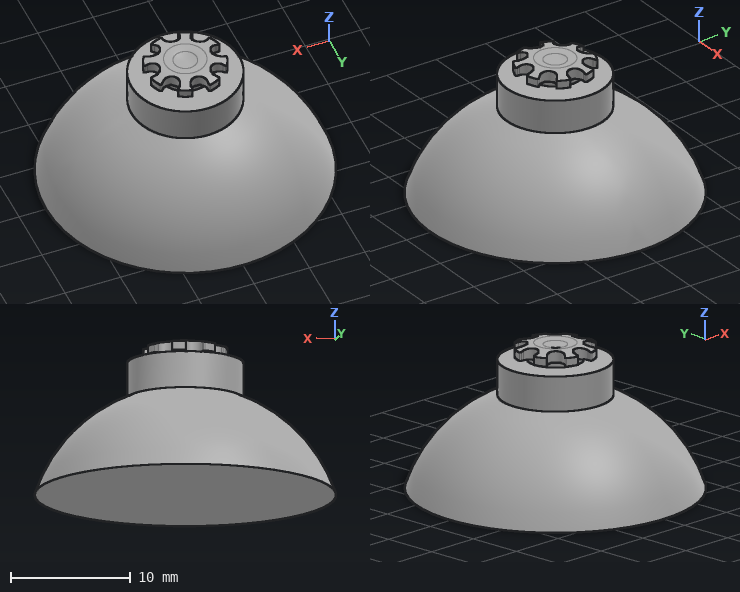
import cadquery as cq
import math

collar_base_z = 8.17
collar_top_z = 11.25
crown_base_z = 11.67
crown_edge_z = 12.4
crown_top_z = 12.7

base_radius = 12.58
collar_radius = 9.7 / 2
neck_radius = 4.75 / 2
crown_radius = 3.52

dish_radius = 1.8
dish_blend_radius = 1.03
dish_depth = 0.33

notch_count = 8
notch_width = 1.48
notch_floor_radius = 2.35
notch_overrun = 0.5
tooth_corner_radius = 0.1


def dome_midpoint():
    """Point halfway along the dome arc, whose sphere is centred on the Z axis."""
    center_z = (collar_radius**2 + collar_base_z**2 - base_radius**2) / (2 * collar_base_z)
    sphere_radius = math.hypot(base_radius, center_z)
    lower_angle = math.atan2(-center_z, base_radius)
    upper_angle = math.atan2(collar_base_z - center_z, collar_radius)
    angle = (lower_angle + upper_angle) / 2
    return (sphere_radius * math.cos(angle), center_z + sphere_radius * math.sin(angle))


def crown_arc_midpoint():
    """Point on the crown's domed rim, an arc that is level where it meets the dish."""
    run = crown_radius - dish_radius
    drop = crown_top_z - crown_edge_z
    arc_radius = (run**2 + drop**2) / (2 * drop)
    half_run = run / 2
    half_drop = arc_radius - math.sqrt(arc_radius**2 - half_run**2)
    return (dish_radius + half_run, crown_top_z - half_drop)


def turned_body():
    """Dome, collar, neck and dished crown, revolved from a (radius, height) profile."""
    dish_floor_z = crown_top_z - dish_depth
    dish_blend_z = dish_floor_z + dish_depth * dish_blend_radius / dish_radius
    return (
        cq.Workplane("XZ")
        .lineTo(base_radius, 0)
        .threePointArc(dome_midpoint(), (collar_radius, collar_base_z))
        .lineTo(collar_radius, collar_top_z)
        .lineTo(neck_radius, collar_top_z)
        .lineTo(neck_radius, crown_base_z)
        .lineTo(crown_radius, crown_base_z)
        .lineTo(crown_radius, crown_edge_z)
        .threePointArc(crown_arc_midpoint(), (dish_radius, crown_top_z))
        .tangentArcPoint((dish_blend_radius, dish_blend_z), relative=False)
        .tangentArcPoint((0, dish_floor_z), relative=False)
        .close()
        .revolve(360, (0, 0, 0), (0, 1, 0))
    )


def crown_notch(angle):
    """Round-bottomed radial notch that cuts the full height of the crown."""
    floor_center = notch_floor_radius + notch_width / 2
    outer_end = crown_radius + notch_overrun
    height = crown_top_z - crown_base_z
    round_floor = (
        cq.Workplane("XY", origin=(0, 0, crown_base_z))
        .center(floor_center, 0)
        .circle(notch_width / 2)
        .extrude(height)
    )
    mouth = (
        cq.Workplane("XY", origin=(0, 0, crown_base_z))
        .center((floor_center + outer_end) / 2, 0)
        .rect(outer_end - floor_center, notch_width)
        .extrude(height)
    )
    return round_floor.union(mouth).rotate((0, 0, 0), (0, 0, 1), angle)


def tooth_corner_edges(body):
    """Vertical edges where the notch walls meet the crown's outer wall."""
    tolerance = 0.003
    corners = []
    for edge in body.edges("|Z").vals():
        center = edge.Center()
        if center.z > crown_base_z and abs(math.hypot(center.x, center.y) - crown_radius) < tolerance:
            corners.append(edge)
    return corners


result = turned_body()
for index in range(notch_count):
    result = result.cut(crown_notch(index * 360 / notch_count))
result = result.newObject(tooth_corner_edges(result)).fillet(tooth_corner_radius)